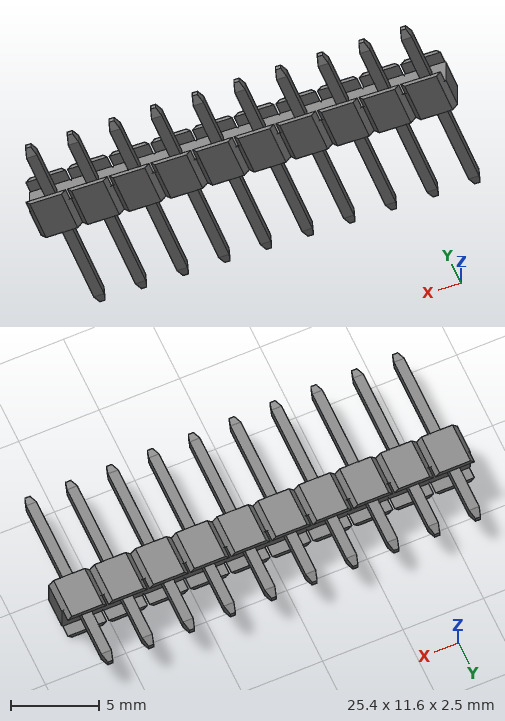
import cadquery as cq

pin_count = 10
row_length = 25.4
pitch = row_length / pin_count
body_depth = 2.55
body_height = 2.5

notch_half_width = 0.3
notch_depth = 0.38

channel_depth = 0.7
lip_thickness = 0.3

pin_width = 0.64
tip_width = pin_width / 2
tip_length = 0.55
front_reach = 6.07
rear_reach = 3.0
pin_offset = -0.1

body_front = -body_depth / 2
body_rear = body_depth / 2
pin_front = body_front - front_reach
pin_rear = body_rear + rear_reach


def make_notch(x, side):
    """V-shaped cutter at x, on the top (side = 1) or bottom (side = -1) of the body."""
    face_z = side * body_height / 2
    return (
        cq.Workplane("XZ", origin=(x, 0, 0))
        .moveTo(-notch_half_width, face_z)
        .lineTo(notch_half_width, face_z)
        .lineTo(0, face_z - side * notch_depth)
        .close()
        .extrude(body_depth / 2, both=True)
    )


def make_body():
    body = cq.Workplane("XY").box(row_length, body_depth, body_height)
    for i in range(pin_count + 1):
        notch_x = i * pitch - row_length / 2
        for side in (-1, 1):
            body = body.cut(make_notch(notch_x, side))
    channel_height = body_height - 2 * lip_thickness
    channel = cq.Workplane("XY").box(row_length, channel_depth, channel_height)
    return body.cut(channel.translate((0, body_rear - channel_depth / 2, 0)))


def make_tip(x, end_y, direction):
    """Tapered pin tip that narrows along direction (1 or -1) and finishes at end_y."""
    base = cq.Plane(
        origin=(x, end_y - direction * tip_length, 0),
        xDir=(1, 0, 0),
        normal=(0, direction, 0),
    )
    return (
        cq.Workplane(base)
        .rect(pin_width, pin_width)
        .workplane(offset=tip_length)
        .rect(tip_width, tip_width)
        .loft(ruled=True)
    )


def make_pin(x):
    shank_length = pin_rear - pin_front - 2 * tip_length
    shank = cq.Workplane("XY").box(pin_width, shank_length, pin_width)
    shank = shank.translate((x, (pin_front + pin_rear) / 2, 0))
    return shank.union(make_tip(x, pin_front, -1)).union(make_tip(x, pin_rear, 1))


header = make_body()
for i in range(pin_count):
    header = header.union(make_pin((i + 0.5) * pitch - row_length / 2 + pin_offset))

result = header